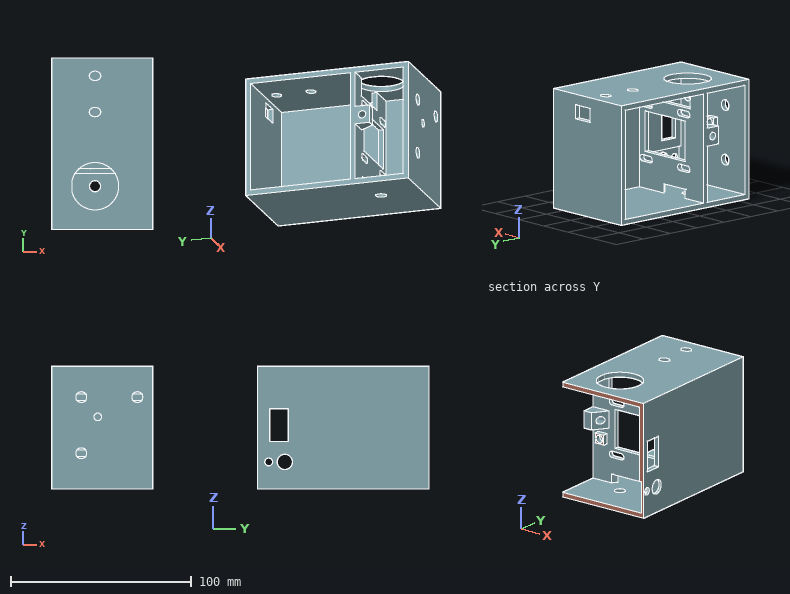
import cadquery as cq

LENGTH_X = 56.0
LENGTH_Y = 95.0
HEIGHT = 68.0
WALL = 3.0

PARTITION_FRONT = 31.0
PARTITION_REAR = PARTITION_FRONT + 2.8

MOTOR_X = 31.9
MOTOR_Z = 35.4
MOTOR_PITCH = 31.0
SLOT_LENGTH = 10.0
SLOT_WIDTH = 3.6
ACCESS_HOLE_DIAMETER = 6.0
MOTOR_WINDOW_WIDTH = 33.0
MOTOR_WINDOW_HEIGHT = 23.0

WELL_X = 24.0
WELL_Y = 24.0
WELL_DIAMETER = 26.2
WELL_FLAT_X = 11.2
WELL_RELIEF_TOP = 8.2
FLOOR_HOLE_DIAMETER = 6.0
NOTCH_RIGHT_X = 37.2
NOTCH_SILL_Z = 54.6

OVAL_LENGTH_X = 6.4
OVAL_WIDTH_Y = 5.2
OVAL_CENTRES_Y = (65.0, 85.0)

REAR_OPENING_WIDTH = 12.0
REAR_OPENING_HEIGHT = 8.0
REAR_OPENING_Z = 58.0

SCREW_Z = 40.0
SCREW_HOLE_DIAMETER = 4.2
BLOCK_HEIGHT = 10.2
BLOCK_FRONT_Y = 22.7
BLOCK_SHORT_X = 5.2
BLOCK_LONG_X = 11.2
BLOCK_HOLE_Y = 27.0
PAD_X = 25.5
PAD_SIZE = 6.0
PAD_LENGTH = 3.2

SIDE_WINDOW_Y = 12.0
SIDE_WINDOW_Z = 35.4
SIDE_WINDOW_WIDTH = 10.2
SIDE_WINDOW_HEIGHT = 18.0
RECESS_END_Y = 23.4
RECESS_TOP_Z = 21.2
RECESS_DEPTH = 1.5
SIDE_HOLES_Z = 15.1
LARGE_SIDE_HOLE_Y = 15.2
LARGE_SIDE_HOLE_DIAMETER = 8.3
SMALL_SIDE_HOLE_Y = 6.3
SMALL_SIDE_HOLE_DIAMETER = 4.2


def span_box(x_range, y_range, z_range):
    """Box between the given lower and upper limits on each axis."""
    size = [high - low for low, high in (x_range, y_range, z_range)]
    corner = (x_range[0], y_range[0], z_range[0])
    return cq.Workplane("XY").box(*size, centered=False).translate(corner)


def centred_range(centre, size):
    return (centre - size / 2, centre + size / 2)


def rod_along_x(x_range, y, z, diameter):
    length = x_range[1] - x_range[0]
    return cq.Workplane("YZ", origin=(x_range[0], y, z)).circle(diameter / 2).extrude(length)


def rod_along_y(x, y_range, z, diameter):
    length = y_range[1] - y_range[0]
    return cq.Workplane("XZ", origin=(x, y_range[0], z)).circle(diameter / 2).extrude(-length)


def rod_along_z(x, y, z_range, diameter):
    length = z_range[1] - z_range[0]
    return cq.Workplane("XY", origin=(x, y, z_range[0])).circle(diameter / 2).extrude(length)


FRONT_WALL = (0, WALL)
REAR_WALL = (LENGTH_Y - WALL, LENGTH_Y)
SIDE_WALL = (LENGTH_X - WALL, LENGTH_X)
FLOOR = (0, WALL)
ROOF = (HEIGHT - WALL, HEIGHT)
PARTITION = (PARTITION_FRONT, PARTITION_REAR)


def housing_shell():
    """Box with a front and a rear chamber, both open towards -X."""
    inside_x = (0, SIDE_WALL[0])
    inside_z = (FLOOR[1], ROOF[0])
    shell = span_box((0, LENGTH_X), (0, LENGTH_Y), (0, HEIGHT))
    front_chamber = span_box(inside_x, (FRONT_WALL[1], PARTITION_FRONT), inside_z)
    rear_chamber = span_box(inside_x, (PARTITION_REAR, REAR_WALL[0]), inside_z)
    return shell.cut(front_chamber).cut(rear_chamber)


def screw_block():
    """Tapered block on the open edge of the partition."""
    outline = [
        (0, PARTITION_FRONT),
        (0, BLOCK_FRONT_Y),
        (BLOCK_SHORT_X, BLOCK_FRONT_Y),
        (BLOCK_LONG_X, PARTITION_FRONT),
    ]
    base = cq.Workplane("XY", origin=(0, 0, SCREW_Z - BLOCK_HEIGHT / 2))
    block = base.polyline(outline).close().extrude(BLOCK_HEIGHT)
    return block.cut(rod_along_x((0, BLOCK_LONG_X), BLOCK_HOLE_Y, SCREW_Z, SCREW_HOLE_DIAMETER))


def add_front_pad(body):
    """Square pad behind the front wall, drilled through with the wall."""
    pad_end = FRONT_WALL[1] + PAD_LENGTH
    pad = span_box(
        centred_range(PAD_X, PAD_SIZE),
        (FRONT_WALL[1], pad_end),
        centred_range(SCREW_Z, PAD_SIZE),
    )
    bore = rod_along_y(PAD_X, (0, pad_end), SCREW_Z, SCREW_HOLE_DIAMETER)
    return body.union(pad).cut(bore)


def cut_motor_mount(body):
    """Window and four slots in the partition, with screwdriver holes in the front wall."""
    window = span_box(
        centred_range(MOTOR_X, MOTOR_WINDOW_WIDTH),
        PARTITION,
        centred_range(MOTOR_Z, MOTOR_WINDOW_HEIGHT),
    )
    body = body.cut(window)
    for side_x in (-1, 1):
        for side_z in (-1, 1):
            x = MOTOR_X + side_x * MOTOR_PITCH / 2
            z = MOTOR_Z + side_z * MOTOR_PITCH / 2
            face = cq.Workplane("XZ", origin=(x, PARTITION_FRONT, z))
            slot = face.slot2D(SLOT_LENGTH, SLOT_WIDTH).extrude(PARTITION_FRONT - PARTITION_REAR)
            body = body.cut(slot)
            if side_x < 0 or side_z > 0:
                body = body.cut(rod_along_y(x, FRONT_WALL, z, ACCESS_HOLE_DIAMETER))
    return body


def flat_sided_well(z_range):
    """Cylinder of the well, with its -X side cut flat."""
    cylinder = rod_along_z(WELL_X, WELL_Y, z_range, WELL_DIAMETER)
    kept_side = span_box((WELL_FLAT_X, LENGTH_X), (0, LENGTH_Y), z_range)
    return cylinder.intersect(kept_side)


def cut_spool_well(body):
    """Roof opening, floor hole, and clearances where the well meets the partition."""
    notch = span_box((WELL_FLAT_X, NOTCH_RIGHT_X), PARTITION, (NOTCH_SILL_Z, ROOF[0]))
    body = body.cut(flat_sided_well(ROOF)).cut(notch)
    body = body.cut(flat_sided_well((FLOOR[1], WELL_RELIEF_TOP)))
    return body.cut(rod_along_z(WELL_X, WELL_Y, FLOOR, FLOOR_HOLE_DIAMETER))


def cut_rear_chamber_openings(body):
    """Two oval roof holes and a rectangular opening in the rear wall."""
    for y in OVAL_CENTRES_Y:
        plane = cq.Workplane("XY", origin=(WELL_X, y, ROOF[0]))
        body = body.cut(plane.ellipse(OVAL_LENGTH_X / 2, OVAL_WIDTH_Y / 2).extrude(WALL))
    opening = span_box(
        centred_range(MOTOR_X, REAR_OPENING_WIDTH),
        REAR_WALL,
        centred_range(REAR_OPENING_Z, REAR_OPENING_HEIGHT),
    )
    return body.cut(opening)


def cut_side_wall(body):
    """Window, corner recess and two round holes in the +X wall."""
    window = span_box(
        SIDE_WALL,
        centred_range(SIDE_WINDOW_Y, SIDE_WINDOW_WIDTH),
        centred_range(SIDE_WINDOW_Z, SIDE_WINDOW_HEIGHT),
    )
    recess = span_box(
        (SIDE_WALL[0], SIDE_WALL[0] + RECESS_DEPTH),
        (FRONT_WALL[1], RECESS_END_Y),
        (FLOOR[1], RECESS_TOP_Z),
    )
    large_hole = rod_along_x(SIDE_WALL, LARGE_SIDE_HOLE_Y, SIDE_HOLES_Z, LARGE_SIDE_HOLE_DIAMETER)
    small_hole = rod_along_x(SIDE_WALL, SMALL_SIDE_HOLE_Y, SIDE_HOLES_Z, SMALL_SIDE_HOLE_DIAMETER)
    return body.cut(window).cut(recess).cut(large_hole).cut(small_hole)


housing = housing_shell().union(screw_block())
housing = add_front_pad(housing)
housing = cut_motor_mount(housing)
housing = cut_spool_well(housing)
housing = cut_rear_chamber_openings(housing)
result = cut_side_wall(housing)